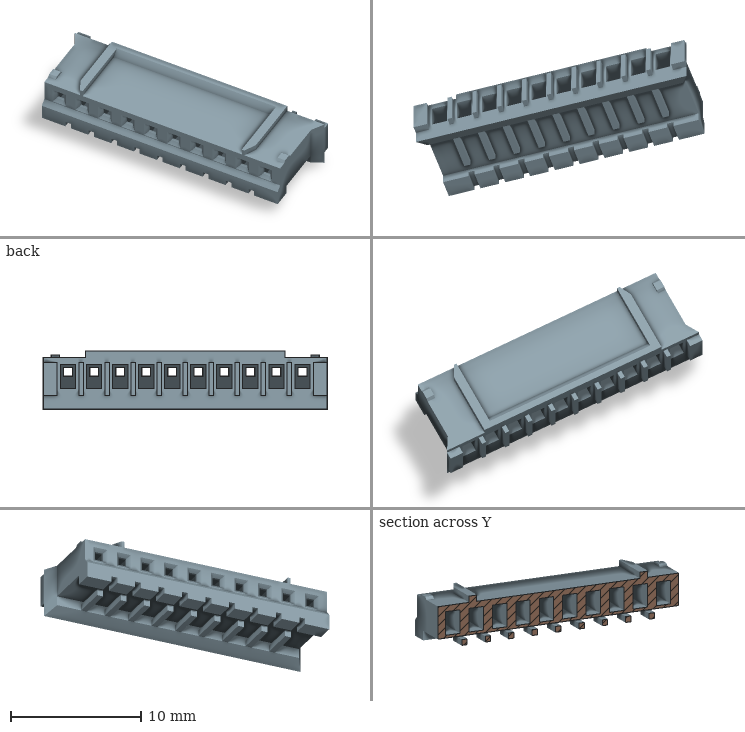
import cadquery as cq

total_length = 21.8
total_depth = 7.0
total_height = 4.5

contact_count = 10
contact_row_length = 17.98
contact_pitch = contact_row_length / (contact_count - 1)
gap_count = contact_count - 1

body_length = 20.58
deck_z = 4.0
foot_z = 0.59
floor_z = 1.35
body_front_y = 0.4
body_back_y = 6.4
foot_back_y = 1.45
bevel_top_z = 2.22
bevel_bottom_z = 1.83

flare_start_y = 5.36

rim_length = 15.3
rim_corner_width = 0.48
rim_corner_y = 1.35
recess_length = 13.89
recess_top_y = 5.9
recess_bottom_y = 5.4

bump_width = 0.65
bump_front_y = 1.0
bump_back_y = 2.03
bump_height = 0.2

opening_z = 2.88
opening_size = 1.18
bore_size = 0.65
funnel_depth = 0.26
bore_length = 0.22

chamber_width = opening_size
chamber_bottom_z = 1.61
chamber_top_z = opening_z + opening_size / 2

notch_width = 0.5
notch_height = 0.45
rib_front_y = 2.5
rib_top_z = 1.1
tab_bottom_z = 1.1
tab_top_z = 3.62
tab_width = 0.35
end_tab_width = 1.07


def box(x_min, x_max, y_min, y_max, z_min, z_max):
    """Axis-aligned block between the given limits."""
    size = (x_max - x_min, y_max - y_min, z_max - z_min)
    return cq.Workplane("XY").box(*size, centered=False).translate((x_min, y_min, z_min))


def centred_prism(profile, length, center_x=0.0):
    """Extrude a (Y, Z) profile along X, centred on center_x."""
    prism = cq.Workplane("YZ").polyline(profile).close().extrude(length / 2, both=True)
    return prism.translate((center_x, 0, 0))


def row_positions(count):
    """X positions of a centred row at the contact pitch."""
    return [(i - (count - 1) / 2) * contact_pitch for i in range(count)]


def make_body():
    profile = [
        (0, foot_z),
        (foot_back_y, foot_z),
        (foot_back_y, floor_z),
        (body_back_y, floor_z),
        (body_back_y, deck_z),
        (body_front_y, deck_z),
        (body_front_y, bevel_top_z),
        (0, bevel_bottom_z),
    ]
    return centred_prism(profile, body_length)


def make_flange():
    """Loft from the body section to the full-width section at the back."""
    flare_depth = body_back_y - flare_start_y
    front_height = deck_z - foot_z
    return (
        cq.Workplane("XZ", origin=(0, flare_start_y, 0))
        .center(0, deck_z - front_height / 2)
        .rect(body_length, front_height)
        .workplane(offset=-flare_depth)
        .center(0, (front_height - deck_z) / 2)
        .rect(total_length, deck_z)
        .loft(ruled=True)
    )


def make_rim():
    half_length = rim_length / 2
    half_front = half_length - rim_corner_width
    outline = [
        (-half_front, body_front_y),
        (half_front, body_front_y),
        (half_length, rim_corner_y),
        (half_length, body_back_y),
        (-half_length, body_back_y),
        (-half_length, rim_corner_y),
    ]
    rim_height = total_height - deck_z
    slab = cq.Workplane("XY", origin=(0, 0, deck_z)).polyline(outline).close().extrude(rim_height)
    recess_profile = [
        (0, deck_z),
        (recess_bottom_y, deck_z),
        (recess_top_y, total_height),
        (0, total_height),
    ]
    return slab.cut(centred_prism(recess_profile, recess_length))


def make_bump(side):
    """Bump with 45 degree front and back slopes, flush with one end of the body."""
    profile = [
        (bump_front_y, deck_z),
        (bump_back_y, deck_z),
        (bump_back_y - bump_height, deck_z + bump_height),
        (bump_front_y + bump_height, deck_z + bump_height),
    ]
    return centred_prism(profile, bump_width, side * (body_length - bump_width) / 2)


def make_tab(center_x, width):
    half_width = width / 2
    return box(center_x - half_width, center_x + half_width,
               body_back_y, total_depth, tab_bottom_z, tab_top_z)


def make_rib(center_x):
    half_width = notch_width / 2
    return box(center_x - half_width, center_x + half_width,
               rib_front_y, body_back_y, foot_z, rib_top_z)


def make_notch(center_x):
    half_width = notch_width / 2
    return box(center_x - half_width, center_x + half_width,
               0, foot_back_y, foot_z, foot_z + notch_height)


def make_contact_hole(center_x):
    """Square funnel at the front face, then a short bore and a wider rear chamber."""
    funnel = (
        cq.Workplane("XZ", origin=(center_x, body_front_y, opening_z))
        .rect(opening_size, opening_size)
        .workplane(offset=-funnel_depth)
        .rect(bore_size, bore_size)
        .loft(ruled=True)
    )
    bore_start_y = body_front_y + funnel_depth
    chamber_start_y = bore_start_y + bore_length
    half_bore = bore_size / 2
    bore = box(center_x - half_bore, center_x + half_bore, bore_start_y, chamber_start_y,
               opening_z - half_bore, opening_z + half_bore)
    half_chamber = chamber_width / 2
    chamber = box(center_x - half_chamber, center_x + half_chamber, chamber_start_y, body_back_y,
                  chamber_bottom_z, chamber_top_z)
    return funnel.union(bore).union(chamber)


result = make_body().union(make_flange()).union(make_rim())

for side in (-1, 1):
    result = result.union(make_bump(side))
    result = result.union(make_tab(side * (total_length - end_tab_width) / 2, end_tab_width))

for gap_x in row_positions(gap_count):
    result = result.union(make_tab(gap_x, tab_width))
    result = result.union(make_rib(gap_x))
    result = result.cut(make_notch(gap_x))

for contact_x in row_positions(contact_count):
    result = result.cut(make_contact_hole(contact_x))